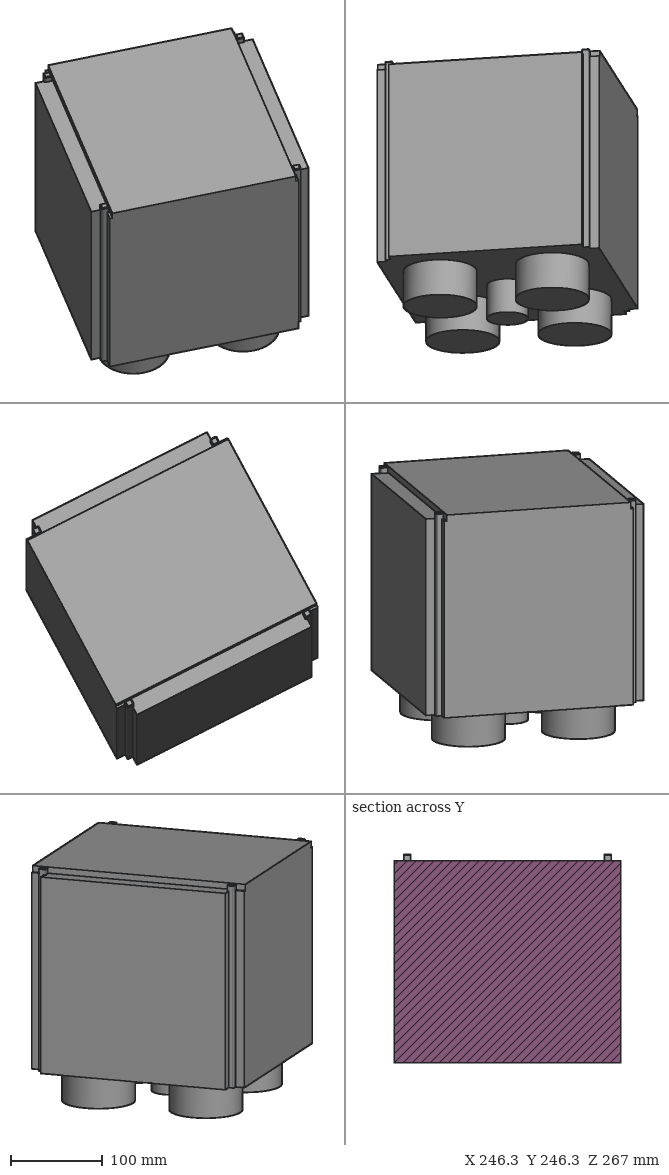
import cadquery as cq

side = 246.3
body_height = 220.0
cap_height = 7.0
panel_width = 214.0
cap_depth = 208.0

post_size = 8.0
post_offset = 109.0
post_edge = 1.0

foot_diameter = 80.0
foot_height = 40.0
foot_offset = 62.15
hub_diameter = 45.0
hub_height = 38.0


def slab(length_x, length_y, height, base_z=0):
    """Plain slab centred on the Z axis, standing on base_z."""
    return cq.Workplane("XY").workplane(offset=base_z).rect(length_x, length_y).extrude(height)


def four_corners(offset):
    """Points at the four corners of a centred square."""
    return [(sx * offset, sy * offset) for sx in (-1, 1) for sy in (-1, 1)]


def make_block():
    """Two crossed slabs leaving stepped corners, covered by the top plate."""
    slab_x = slab(side, panel_width, body_height)
    slab_y = slab(panel_width, side, body_height)
    cap = slab(side, cap_depth, cap_height, body_height)
    return slab_x.union(slab_y).union(cap)


def make_post():
    """Square post, level with the top plate, with rounded uprights and a chamfered top."""
    post = slab(post_size, post_size, body_height + cap_height)
    return post.edges("|Z").fillet(post_edge).faces(">Z").chamfer(post_edge)


def make_feet():
    """Four corner feet and a shorter central hub hanging below the block."""
    feet = (
        cq.Workplane("XY")
        .pushPoints(four_corners(foot_offset))
        .circle(foot_diameter / 2)
        .extrude(-foot_height)
    )
    hub = cq.Workplane("XY").circle(hub_diameter / 2).extrude(-hub_height)
    return feet.union(hub)


result = make_block().union(make_feet())
corner_post = make_post()
for x, y in four_corners(post_offset):
    result = result.union(corner_post.translate((x, y, 0)))